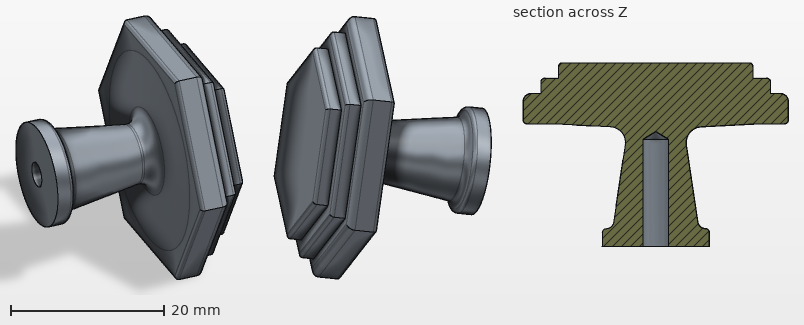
import cadquery as cq
import math

total_length = 24.0

rim_across_flats = 30.0
middle_across_flats = 26.0
crown_across_flats = 22.0
step_height = 2.0
rim_thickness = 4.0
rim_outer_round = 1.0
small_round = 0.5

head_underside_depth = 2 * step_height + rim_thickness
stem_overlap = 0.5
dome_radius = 13.36
dome_angle = math.radians(3.0)
neck_radius = 4.0
neck_fillet = 2.0
neck_length = 0.3
foot_radius = 7.0
foot_thickness = 2.35
foot_fillet = 1.0

hole_diameter = 3.3
hole_depth = 14.0
drill_point_angle = math.radians(118.0)


def hex_plate(across_flats, start_depth, thickness):
    """Hexagonal plate with its outer face at start_depth, growing towards -Y."""
    across_corners = across_flats / math.cos(math.radians(30))
    plane = cq.Workplane("XZ", origin=(0, -start_depth, 0))
    return plane.polygon(6, across_corners).extrude(thickness)


def make_head():
    crown = hex_plate(crown_across_flats, 0, step_height)
    crown = crown.faces(">Y").edges().fillet(small_round)

    middle = hex_plate(middle_across_flats, step_height, step_height)
    middle = middle.faces(">Y").edges().fillet(small_round)

    rim = hex_plate(rim_across_flats, 2 * step_height, rim_thickness)
    rim = rim.faces(">Y").edges().fillet(rim_outer_round)
    rim = rim.faces("<Y").edges().fillet(small_round)
    return rim.union(middle).union(crown)


def arc_point(center, radius, angle):
    """Point on an arc in the (radius, Y) half plane."""
    return (center[0] + radius * math.cos(angle), center[1] + radius * math.sin(angle))


def make_stem():
    underside_y = -head_underside_depth
    buried_y = underside_y + stem_overlap
    foot_end_y = -total_length
    shoulder_y = foot_end_y + foot_thickness

    dome_rise = (dome_radius - neck_radius) * math.tan(dome_angle)
    fillet_tangent = neck_fillet * math.tan((math.pi / 2 - dome_angle) / 2)
    neck_top_y = underside_y - dome_rise - fillet_tangent
    neck_end_y = neck_top_y - neck_length
    neck_center = (neck_radius + neck_fillet, neck_top_y)
    dome_normal = math.pi / 2 + dome_angle
    dome_end = arc_point(neck_center, neck_fillet, dome_normal)
    neck_fillet_mid = arc_point(neck_center, neck_fillet, (dome_normal + math.pi) / 2)

    shoulder_radius = foot_radius - small_round
    foot_center = (shoulder_radius, shoulder_y + foot_fillet)
    to_neck_r = neck_radius - foot_center[0]
    to_neck_y = neck_end_y - foot_center[1]
    tangent_spread = math.acos(foot_fillet / math.hypot(to_neck_r, to_neck_y))
    shank_normal = math.atan2(to_neck_y, to_neck_r) + tangent_spread
    shank_end = arc_point(foot_center, foot_fillet, shank_normal)
    foot_fillet_mid = arc_point(foot_center, foot_fillet, (shank_normal + 1.5 * math.pi) / 2)

    edge_center = (shoulder_radius, shoulder_y - small_round)
    edge_round_mid = arc_point(edge_center, small_round, math.pi / 4)

    profile = (
        cq.Workplane("XY")
        .moveTo(0, buried_y)
        .lineTo(dome_radius, buried_y)
        .lineTo(dome_radius, underside_y)
        .lineTo(*dome_end)
        .threePointArc(neck_fillet_mid, (neck_radius, neck_top_y))
        .lineTo(neck_radius, neck_end_y)
        .lineTo(*shank_end)
        .threePointArc(foot_fillet_mid, (shoulder_radius, shoulder_y))
        .threePointArc(edge_round_mid, (foot_radius, edge_center[1]))
        .lineTo(foot_radius, foot_end_y)
        .lineTo(0, foot_end_y)
        .close()
    )
    return profile.revolve(360, (0, 0, 0), (0, 1, 0))


def make_screw_hole():
    hole_radius = hole_diameter / 2
    point_length = hole_radius / math.tan(drill_point_angle / 2)
    foot_end_y = -total_length
    wall_end_y = foot_end_y + hole_depth
    profile = (
        cq.Workplane("XY")
        .moveTo(0, foot_end_y)
        .lineTo(hole_radius, foot_end_y)
        .lineTo(hole_radius, wall_end_y)
        .lineTo(0, wall_end_y + point_length)
        .close()
    )
    return profile.revolve(360, (0, 0, 0), (0, 1, 0))


result = make_head().union(make_stem()).cut(make_screw_hole())